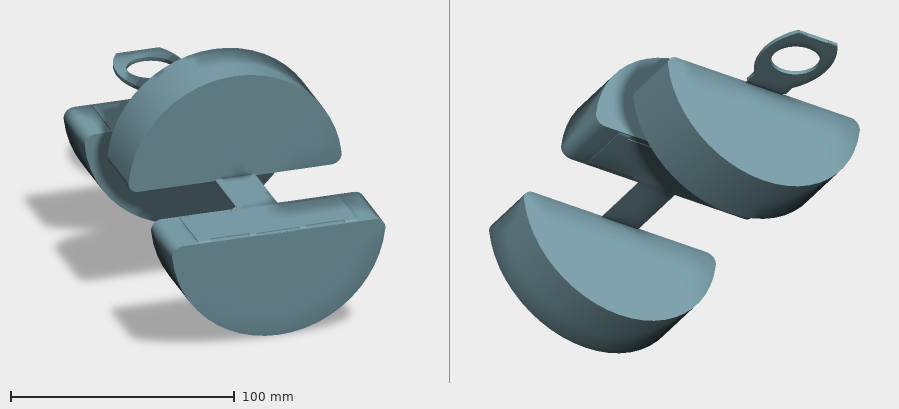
import cadquery as cq
import math

strap_end_x = 201.0
strap_half_width = 9.5
strap_thickness = 0.5
strap_top = strap_thickness / 2

tab_thickness = 1.8
tab_end_x = 0.6
tab_length = 44.8
tab_neck_half_width = 10.0
tab_eye_x = 19.7
tab_eye_diameter = 22.0
tab_half_width = 16.0
tab_side_radius = 34.2
nub_inner_y = 5.2
nub_outer_y = 10.0

block_width = 30.0
block_pitch = 62.0
first_block_x = 62.0
block_flips = [False, True, False]

rind_top = 0.5
rind_radius = 50.5
rind_corner_radius = 4.8

pith_top = 0.8
pith_radius = 37.4
pith_depth = 35.0
pith_plate_thickness = 3.0
pith_edge_radius = 2.0
notch_half_width = 10.0
notch_length = pith_edge_radius

wedge_apex_radius = 5.0
wedge_outer_radius = 31.5
wedge_half_angle = math.radians(25.2)
wedge_corner_radius = 1.8
side_wedge_tip_radius = 6.0
wedge_angles = [0, 45, 90, 135, 180]
side_wedge_angles = [0, 180]
spike_half_width = 1.1
spike_length = 6.8
spike_root_overlap = 0.6


def box(x_range, y_range, z_range):
    """Box between the given limits on each axis."""
    size = [high - low for low, high in (x_range, y_range, z_range)]
    corner = (x_range[0], y_range[0], z_range[0])
    return cq.Workplane("XY").box(*size, centered=False).translate(corner)


def make_strap():
    x_range = (tab_length, strap_end_x)
    return box(x_range, (-strap_half_width, strap_half_width), (-strap_top, strap_top))


def tab_side_y(x):
    """Half width of the tab on its bulging side arc."""
    drop = tab_side_radius - math.sqrt(tab_side_radius**2 - (x - tab_eye_x) ** 2)
    return tab_half_width - drop


def make_tab():
    end_y = tab_side_y(tab_end_x)
    arc_centre_y = tab_half_width - tab_side_radius
    neck_x = tab_eye_x + math.sqrt(tab_side_radius**2 - (tab_neck_half_width - arc_centre_y) ** 2)
    plate = (
        cq.Workplane("XY", origin=(0, 0, -tab_thickness / 2))
        .moveTo(tab_end_x, end_y)
        .threePointArc((tab_eye_x, tab_half_width), (neck_x, tab_neck_half_width))
        .lineTo(tab_length, tab_neck_half_width)
        .lineTo(tab_length, -tab_neck_half_width)
        .lineTo(neck_x, -tab_neck_half_width)
        .threePointArc((tab_eye_x, -tab_half_width), (tab_end_x, -end_y))
        .close()
        .extrude(tab_thickness)
    )
    eye = (
        cq.Workplane("XY")
        .center(tab_eye_x, 0)
        .circle(tab_eye_diameter / 2)
        .extrude(tab_thickness, both=True)
    )
    tab = plate.cut(eye)

    nub_radius = tab_thickness / 2
    for start_y in (-nub_outer_y, nub_inner_y):
        nub = (
            cq.Workplane("XZ", origin=(nub_radius, start_y, 0))
            .circle(nub_radius)
            .extrude(nub_inner_y - nub_outer_y)
        )
        tab = tab.union(nub)
    return tab


def make_half_disc():
    """Solid half disc with its flat just above the strap and rounded corners."""
    return (
        cq.Workplane("YZ", origin=(-block_width / 2, 0, rind_top))
        .moveTo(-rind_radius, 0)
        .threePointArc((0, -rind_radius), (rind_radius, 0))
        .close()
        .extrude(block_width)
        .edges("|X")
        .fillet(rind_corner_radius)
    )


def make_wedge(angle, tip_radius, has_spike):
    """Window prism along X, pointing at the given angle below +Y from the pith centre."""
    side_length = -wedge_apex_radius * math.cos(wedge_half_angle) + math.sqrt(
        wedge_outer_radius**2 - (wedge_apex_radius * math.sin(wedge_half_angle)) ** 2
    )
    corner_u = wedge_apex_radius + side_length * math.cos(wedge_half_angle)
    corner_v = side_length * math.sin(wedge_half_angle)
    face = cq.Workplane("YZ", origin=(-block_width / 2, 0, 0))
    wedge = (
        face.moveTo(wedge_apex_radius, 0)
        .lineTo(corner_u, -corner_v)
        .threePointArc((wedge_outer_radius, 0), (corner_u, corner_v))
        .close()
        .extrude(block_width)
    )
    wedge = wedge.edges("|X and <Y").fillet(tip_radius)
    wedge = wedge.edges("|X").edges("<Z or >Z").fillet(wedge_corner_radius)
    if has_spike:
        root_u = wedge_outer_radius + spike_root_overlap
        tip_u = wedge_outer_radius - spike_length
        spike = (
            face.polyline([(root_u, -spike_half_width), (tip_u, 0), (root_u, spike_half_width)])
            .close()
            .extrude(block_width)
        )
        wedge = wedge.cut(spike)
    return wedge.rotate((0, 0, 0), (1, 0, 0), -angle).translate((0, 0, pith_top))


def cut_strap_notches(pith):
    """Open both end plates where the rind carries the strap through to the block's ends."""
    outer_x = block_width / 2
    y_range = (-notch_half_width, notch_half_width)
    for side in (-1, 1):
        for length, top in ((pith_plate_thickness, rind_top), (notch_length, pith_top)):
            x_range = sorted((side * outer_x, side * (outer_x - length)))
            pith = pith.cut(box(x_range, y_range, (-strap_top, top)))
    return pith


def make_pith():
    """Cap plate over the rind's flat, joined to a plate in each end face."""
    pith = (
        cq.Workplane("YZ", origin=(-block_width / 2, 0, pith_top))
        .moveTo(-pith_radius, 0)
        .threePointArc((0, -pith_radius), (pith_radius, 0))
        .close()
        .extrude(block_width)
    )
    y_range = (-pith_radius, pith_radius)
    pith = pith.intersect(box((-block_width, block_width), y_range, (pith_top - pith_depth, pith_top)))
    pith = pith.faces(">Z").edges("|Y").fillet(pith_edge_radius)

    core_half_width = block_width / 2 - pith_plate_thickness
    pith = pith.cut(box((-core_half_width, core_half_width), y_range, (-pith_depth, rind_top)))

    core = box((-core_half_width, core_half_width), y_range, (-pith_depth, pith_top))
    for angle in wedge_angles:
        is_side = angle in side_wedge_angles
        tip_radius = side_wedge_tip_radius if is_side else wedge_corner_radius
        pith = pith.cut(make_wedge(angle, tip_radius, not is_side).cut(core))
    return cut_strap_notches(pith)


def place_block(body, index):
    """Move a body from the origin to its block, upside down where the block stands up."""
    if block_flips[index]:
        body = body.rotate((0, 0, 0), (1, 0, 0), 180)
    return body.translate((first_block_x + index * block_pitch, 0, 0))


strap = make_strap()
tab = make_tab()

pith = make_pith()
rind = make_half_disc().cut(pith)

rinds = []
piths = []
for index in range(len(block_flips)):
    rinds.append(place_block(rind, index).cut(strap))
    piths.append(place_block(pith, index))

result = cq.Compound.makeCompound(
    [strap.val(), tab.val()]
    + [solid for body in rinds + piths for solid in body.solids().vals()]
)